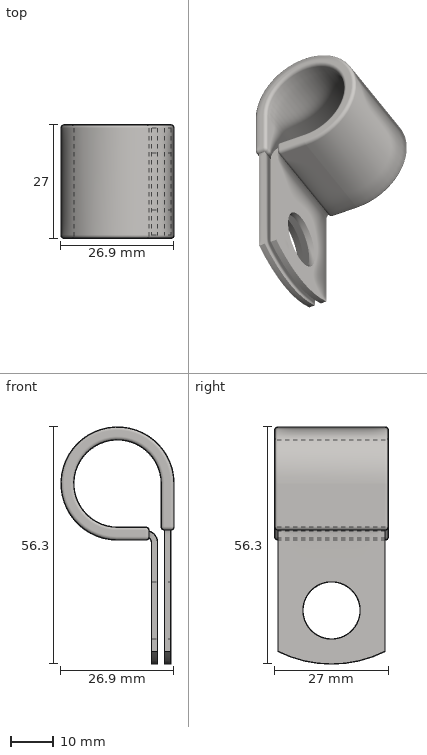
import cadquery as cq
import math


strap_thickness = 1.5
strap_width = 25.4
ear_gap = 1.6
bend_inner_radius = 1.4

sleeve_outer_radius = 13.425
cover_thickness = 0.794
sleeve_foot_x = 7.5
sleeve_side_z = -11.05

overall_height = 56.27
ear_tip_sagitta = 3.0
hole_diameter = 13.5
hole_z = -30.1

strap_outer_radius = sleeve_outer_radius - cover_thickness
strap_inner_radius = strap_outer_radius - strap_thickness
sleeve_inner_radius = strap_inner_radius - cover_thickness
sleeve_middle_radius = (sleeve_outer_radius + sleeve_inner_radius) / 2
sleeve_width = strap_width + 2 * cover_thickness
ear_bottom_z = sleeve_outer_radius - overall_height
bent_ear_outer_x = strap_inner_radius - ear_gap
bent_ear_inner_x = bent_ear_outer_x - strap_thickness
bend_start_x = bent_ear_inner_x - bend_inner_radius
bend_end_z = -strap_outer_radius - bend_inner_radius
bend_outer_radius = bend_inner_radius + strap_thickness
diagonal = math.sqrt(0.5)


def loop_profile(inner_radius, outer_radius, foot_x, side_z):
    """Three-quarter ring with a flat run at the bottom and a vertical run on the right."""
    return (
        cq.Workplane("XZ")
        .moveTo(outer_radius, side_z)
        .lineTo(outer_radius, 0)
        .threePointArc((-outer_radius * diagonal, outer_radius * diagonal), (0, -outer_radius))
        .lineTo(foot_x, -outer_radius)
        .lineTo(foot_x, -inner_radius)
        .lineTo(0, -inner_radius)
        .threePointArc((-inner_radius * diagonal, inner_radius * diagonal), (inner_radius, 0))
        .lineTo(inner_radius, side_z)
        .close()
    )


def make_sleeve():
    """Rubber sleeve with its rims and ends rounded down to the strap surface."""
    body = loop_profile(
        sleeve_inner_radius, sleeve_outer_radius, sleeve_foot_x, sleeve_side_z
    ).extrude(sleeve_width / 2, both=True)
    foot_end = cq.NearestToPointSelector((sleeve_foot_x, 0, -sleeve_middle_radius))
    side_end = cq.NearestToPointSelector((sleeve_middle_radius, 0, sleeve_side_z))
    rims = body.faces("<Y or >Y").edges()
    end_edges = body.faces(foot_end).edges("|Y").add(body.faces(side_end).edges("|Y"))
    return rims.add(end_edges).fillet(cover_thickness)


def make_bent_ear():
    """Quarter bend from the flat run into the left ear."""
    outer_mid = (
        bend_start_x + bend_outer_radius * diagonal,
        bend_end_z + bend_outer_radius * diagonal,
    )
    inner_mid = (
        bend_start_x + bend_inner_radius * diagonal,
        bend_end_z + bend_inner_radius * diagonal,
    )
    return (
        cq.Workplane("XZ")
        .moveTo(bend_start_x, -strap_inner_radius)
        .threePointArc(outer_mid, (bent_ear_outer_x, bend_end_z))
        .lineTo(bent_ear_outer_x, ear_bottom_z)
        .lineTo(bent_ear_inner_x, ear_bottom_z)
        .lineTo(bent_ear_inner_x, bend_end_z)
        .threePointArc(inner_mid, (bend_start_x, -strap_outer_radius))
        .close()
        .extrude(strap_width / 2, both=True)
    )


def make_ear_outline():
    """Strap silhouette across its width, with the curved tip and the bolt hole."""
    half_width = strap_width / 2
    corner_z = ear_bottom_z + ear_tip_sagitta
    outline = (
        cq.Workplane("YZ")
        .moveTo(-half_width, corner_z)
        .threePointArc((0, ear_bottom_z), (half_width, corner_z))
        .lineTo(half_width, sleeve_outer_radius)
        .lineTo(-half_width, sleeve_outer_radius)
        .close()
        .extrude(sleeve_outer_radius, both=True)
    )
    hole = (
        cq.Workplane("YZ")
        .center(0, hole_z)
        .circle(hole_diameter / 2)
        .extrude(sleeve_outer_radius, both=True)
    )
    return outline.cut(hole)


def make_strap():
    """Steel strap: loop with the straight right ear, joined to the bent left ear."""
    loop = loop_profile(
        strap_inner_radius, strap_outer_radius, bend_start_x, ear_bottom_z
    ).extrude(strap_width / 2, both=True)
    return loop.union(make_bent_ear()).intersect(make_ear_outline())


result = make_sleeve().union(make_strap())